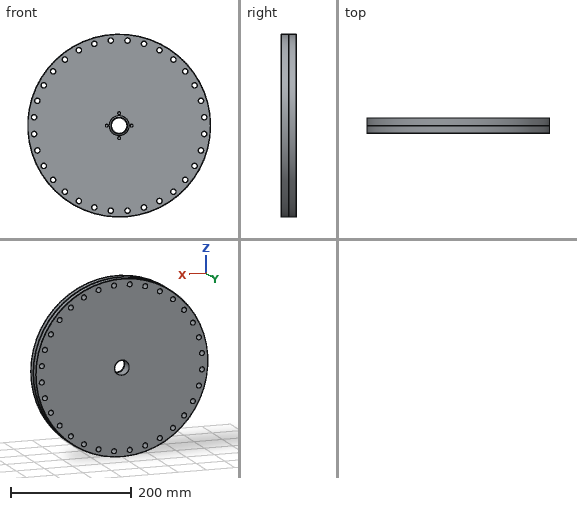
import cadquery as cq
import math

outer_diameter = 304.0
thickness = 25.8
edge_chamfer = 0.5

bolt_count = 32
bolt_diameter = 8.5
bolt_circle_diameter = 284.0

bore_diameter = 25.5
recess_diameter = 33.0
knife_diameter = 27.7
knife_tip_depth = 0.5
knife_slope_angle = 20.0
knife_inner_depth = 1.2

drill_count = 4
drill_diameter = 5.0
drill_circle_diameter = 41.3
drill_depth = 7.5
drill_tip_angle = 118.0

outer_radius = outer_diameter / 2
half_thickness = thickness / 2
front_y = -half_thickness


def flange_disc(start_y):
    """Chamfered disc of half the thickness, starting at start_y and running toward +Y."""
    disc = cq.Workplane("XZ", origin=(0, start_y, 0)).circle(outer_radius).extrude(-half_thickness)
    return disc.edges().chamfer(edge_chamfer)


def circle_points(diameter, count, first_angle):
    """Evenly spaced (x, z) points on a circle about the Y axis, angles in degrees."""
    angles = [math.radians(first_angle + 360 / count * i) for i in range(count)]
    return [(diameter / 2 * math.cos(a), diameter / 2 * math.sin(a)) for a in angles]


def bolt_holes():
    """Through holes, with the axes X and Z falling midway between neighbours."""
    points = circle_points(bolt_circle_diameter, bolt_count, 180 / bolt_count)
    front = cq.Workplane("XZ", origin=(0, front_y, 0))
    return front.pushPoints(points).circle(bolt_diameter / 2).extrude(-thickness)


def central_bore():
    """Through bore and sealing recess, revolved about the Y axis; the recess floor rises to the knife edge."""
    bore_radius = bore_diameter / 2
    recess_radius = recess_diameter / 2
    knife_radius = knife_diameter / 2
    tip_y = front_y + knife_tip_depth
    recess_floor_y = tip_y + (recess_radius - knife_radius) * math.tan(math.radians(knife_slope_angle))
    ledge_y = front_y + knife_inner_depth
    profile = [
        (0, front_y),
        (recess_radius, front_y),
        (recess_radius, recess_floor_y),
        (knife_radius, tip_y),
        (knife_radius, ledge_y),
        (bore_radius, ledge_y),
        (bore_radius, half_thickness),
        (0, half_thickness),
    ]
    return cq.Workplane("XY").polyline(profile).close().revolve(360, (0, 0), (0, 1))


def drilled_hole(x, z):
    """Blind hole from the front face with a conical drill tip."""
    radius = drill_diameter / 2
    shoulder_y = front_y + drill_depth
    tip_y = shoulder_y + radius / math.tan(math.radians(drill_tip_angle / 2))
    profile = [(0, front_y), (radius, front_y), (radius, shoulder_y), (0, tip_y)]
    drill = cq.Workplane("XY").polyline(profile).close().revolve(360, (0, 0), (0, 1))
    return drill.translate((x, 0, z))


result = flange_disc(front_y).union(flange_disc(0))
result = result.cut(bolt_holes()).cut(central_bore())
for x, z in circle_points(drill_circle_diameter, drill_count, 0):
    result = result.cut(drilled_hole(x, z))